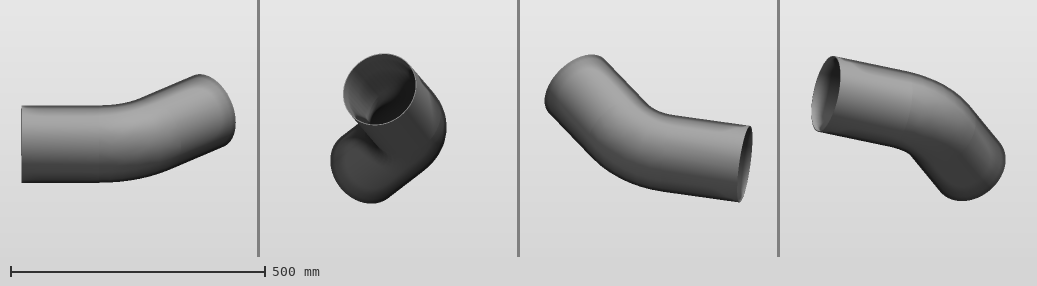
import cadquery as cq
import math

overall_length = 422.0
outer_diameter = 152.3
inner_diameter = 149.0
bend_radius = 152.3
bend_angle = 45.0

sine = math.sin(math.radians(bend_angle))
cosine = math.cos(math.radians(bend_angle))
bend_reach = (bend_radius + outer_diameter / 2) * sine
leg_length = (overall_length - bend_reach) / (1 + cosine)


def pipe_section(plane):
    """Ring-shaped cross-section of the pipe on the given plane."""
    return cq.Workplane(plane).circle(outer_diameter / 2).circle(inner_diameter / 2)


entry_plane = cq.Plane(origin=(0, 0, 0), xDir=(1, 0, 0), normal=(0, 1, 0))
straight_leg = pipe_section(entry_plane).extrude(leg_length)

bend = pipe_section(entry_plane).revolve(
    bend_angle,
    (-bend_radius, 0, 0),
    (-bend_radius, 1, 0),
)

exit_plane = cq.Plane(
    origin=(-bend_radius * (1 - cosine), -bend_radius * sine, 0),
    xDir=(cosine, -sine, 0),
    normal=(-sine, -cosine, 0),
)
angled_leg = pipe_section(exit_plane).extrude(leg_length)

result = straight_leg.union(bend).union(angled_leg)